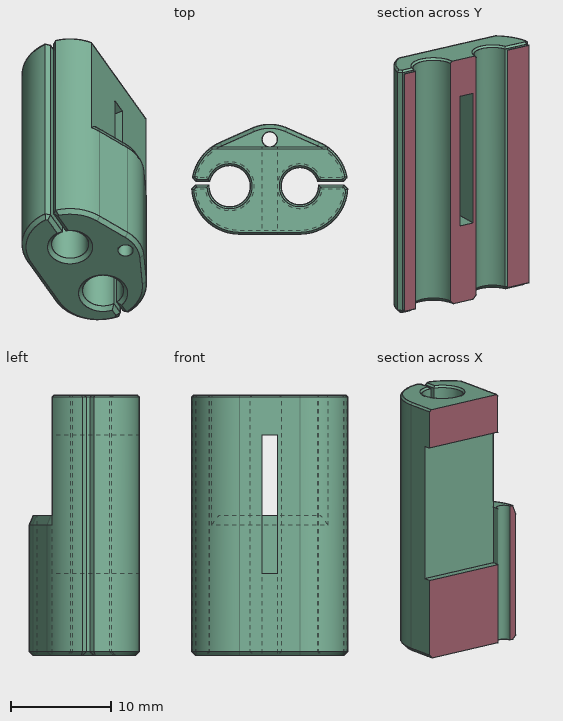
import cadquery as cq
import math

height = 26.0
round_radius = 4.8
round_offset = 3.0
back_y = 3.9

tab_height = 14.0
tab_crown_y = 6.19
crown_radius = 4.2

left_bore_x = -4.0
left_bore_diameter = 4.1
right_bore_x = 3.0
right_bore_diameter = 3.7
tab_hole_diameter = 1.5
tab_hole_wall = 0.02
tab_hole_y = back_y + tab_hole_wall + tab_hole_diameter / 2
window_width = 1.5
window_bottom = 8.2
window_top = 22.0
slit_front_y = 0.13
slit_width = 0.35

top_chamfer = 0.2
bottom_chamfer = 0.4
lip_chamfer = 0.4
tab_chamfer_inset = 0.4
tab_chamfer_height = 0.95

side_x = round_offset + round_radius
across = (-side_x, side_x)
front_depth = (-round_radius, back_y)
tab_depth = (back_y, tab_crown_y)
cut_clearance = 1.0


def make_outline_prism(length):
    """Full outline: front flat, two end rounds, and sloped sides tangent to rounds and crown."""
    crown_y = tab_crown_y - crown_radius
    center_distance = math.hypot(round_offset, crown_y)
    center_angle = math.atan2(crown_y, round_offset)
    slope = center_angle - math.asin((round_radius - crown_radius) / center_distance)
    round_end_x = round_offset + round_radius * math.sin(slope)
    round_end_y = round_radius * math.cos(slope)
    crown_end_x = crown_radius * math.sin(slope)
    crown_end_y = crown_y + crown_radius * math.cos(slope)
    return (
        cq.Workplane("XY")
        .moveTo(-round_offset, -round_radius)
        .lineTo(round_offset, -round_radius)
        .threePointArc((side_x, 0), (round_end_x, round_end_y))
        .lineTo(crown_end_x, crown_end_y)
        .threePointArc((0, tab_crown_y), (-crown_end_x, crown_end_y))
        .lineTo(-round_end_x, round_end_y)
        .threePointArc((-side_x, 0), (-round_offset, -round_radius))
        .close()
        .extrude(length)
    )


def make_block(x_range, y_range, z_range):
    """Axis-aligned box from its (low, high) limits."""
    sizes = [high - low for low, high in (x_range, y_range, z_range)]
    corner = (x_range[0], y_range[0], z_range[0])
    return cq.Workplane("XY").box(*sizes, centered=False).translate(corner)


def make_cylinder(x, y, diameter):
    """Vertical cutter over the full height."""
    return cq.Workplane("XY").center(x, y).circle(diameter / 2).extrude(height)


def make_slit(side, bore_x):
    """Slit from a bore out through one side (-1 left, +1 right), its outer lips bevelled."""
    slit_back_y = slit_front_y + slit_width
    front_lip_y = slit_front_y - lip_chamfer
    back_lip_y = slit_back_y + lip_chamfer

    def lip_corner_x(y):
        return round_offset + math.sqrt(round_radius**2 - y**2)

    outside_x = side_x + cut_clearance
    front_mouth_x = lip_corner_x(slit_front_y) - lip_chamfer
    back_mouth_x = lip_corner_x(slit_back_y) - lip_chamfer
    points = [
        (bore_x, slit_front_y),
        (side * front_mouth_x, slit_front_y),
        (side * lip_corner_x(front_lip_y), front_lip_y),
        (side * outside_x, front_lip_y),
        (side * outside_x, back_lip_y),
        (side * lip_corner_x(back_lip_y), back_lip_y),
        (side * back_mouth_x, slit_back_y),
        (bore_x, slit_back_y),
    ]
    return cq.Workplane("XY").polyline(points).close().extrude(height)


def make_body():
    """Tall front part with its bores and slits."""
    body = make_outline_prism(height).intersect(make_block(across, front_depth, (0, height)))
    body = body.cut(make_cylinder(left_bore_x, 0, left_bore_diameter))
    body = body.cut(make_cylinder(right_bore_x, 0, right_bore_diameter))
    body = body.cut(make_slit(-1, left_bore_x))
    body = body.cut(make_slit(1, right_bore_x))
    return body.faces(">Z").chamfer(top_chamfer)


def make_tab():
    """Short rear part whose top rim is bevelled steeply."""
    prism = make_outline_prism(tab_height)
    prism = prism.faces(">Z").chamfer(tab_chamfer_height, tab_chamfer_inset)
    return prism.intersect(make_block(across, tab_depth, (0, tab_height)))


part = make_body().union(make_tab())
part = part.faces("<Z").chamfer(bottom_chamfer)
part = part.cut(make_cylinder(0, tab_hole_y, tab_hole_diameter))

window_half = window_width / 2
part = part.cut(make_block((-window_half, window_half), front_depth, (window_bottom, window_top)))

result = part